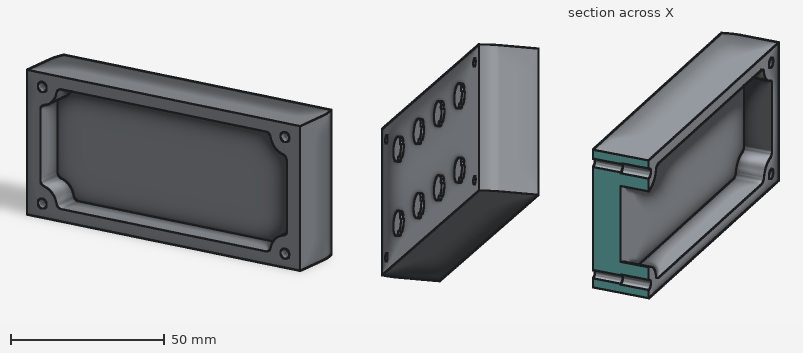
import cadquery as cq
import math

length = 107.3
total_depth = 21.0
height = 49.7
pad_height = 1.0
body_depth = total_depth - pad_height

end_straight_depth = 13.6
end_inset = 1.1
back_rim = 0.3

end_wall = 5.3
side_wall = 4.3
pocket_depth = 10.1
pocket_fillet = 2.0

hole_end_offset = 6.0
hole_side_offset = 4.8
boss_end_offset = 5.5
boss_side_offset = hole_side_offset
hole_diameter = 2.8
hole_mouth_diameter = 3.4
hole_mouth_depth = pocket_depth
boss_diameter = 12.5

pad_columns = 4
pad_rows = 2
pad_pitch_x = 22.0
pad_pitch_z = 25.2
pad_diameter = 8.3
notch_diameter = 1.5
notch_angles = (162, 247)


def corner_points(end_offset, side_offset):
    """Return the four points set in from the ends and long sides of the block."""
    return [
        (side_x * (length / 2 - end_offset), side_z * (height / 2 - side_offset))
        for side_x in (-1, 1)
        for side_z in (-1, 1)
    ]


def cylinders(points, diameter, start, depth):
    """Cylinders along Y at XZ points, from y = start to y = start + depth."""
    return cq.Workplane("XZ", origin=(0, start, 0)).pushPoints(points).circle(diameter / 2).extrude(-depth)


def make_body():
    half = length / 2
    arc_end = body_depth - back_rim
    arc_depth = arc_end - end_straight_depth
    radius = (arc_depth**2 + end_inset**2) / (2 * end_inset)
    mid_y = end_straight_depth + arc_depth / 2
    mid_x = half - radius + math.sqrt(radius**2 - (arc_depth / 2) ** 2)
    back_x = half - end_inset
    return (
        cq.Workplane("XY")
        .moveTo(-half, 0)
        .lineTo(half, 0)
        .lineTo(half, end_straight_depth)
        .threePointArc((mid_x, mid_y), (back_x, arc_end))
        .lineTo(back_x, body_depth)
        .lineTo(-back_x, body_depth)
        .lineTo(-back_x, arc_end)
        .threePointArc((-mid_x, mid_y), (-half, end_straight_depth))
        .close()
        .extrude(height / 2, both=True)
    )


def make_pocket():
    pocket = (
        cq.Workplane("XZ")
        .rect(length - 2 * end_wall, height - 2 * side_wall)
        .extrude(-pocket_depth)
    )
    boss_points = corner_points(boss_end_offset, boss_side_offset)
    bosses = cylinders(boss_points, boss_diameter, 0, pocket_depth)
    return pocket.cut(bosses).edges("|Y").fillet(pocket_fillet)


def make_screw_holes():
    hole_points = corner_points(hole_end_offset, hole_side_offset)
    through_holes = cylinders(hole_points, hole_diameter, 0, body_depth)
    mouths = cylinders(hole_points, hole_mouth_diameter, 0, hole_mouth_depth)
    return through_holes.union(mouths)


def make_pad():
    """One pad centred on the back face, with small round notches in its rim."""
    pad_radius = pad_diameter / 2
    notch_points = [
        (pad_radius * math.cos(math.radians(angle)), pad_radius * math.sin(math.radians(angle)))
        for angle in notch_angles
    ]
    pad = cylinders([(0, 0)], pad_diameter, body_depth, pad_height)
    return pad.cut(cylinders(notch_points, notch_diameter, body_depth, pad_height))


result = make_body().cut(make_pocket()).cut(make_screw_holes())

pad = make_pad()
for column in range(pad_columns):
    x = (column - (pad_columns - 1) / 2) * pad_pitch_x
    for row in range(pad_rows):
        z = (row - (pad_rows - 1) / 2) * pad_pitch_z
        result = result.union(pad.translate((x, 0, z)))